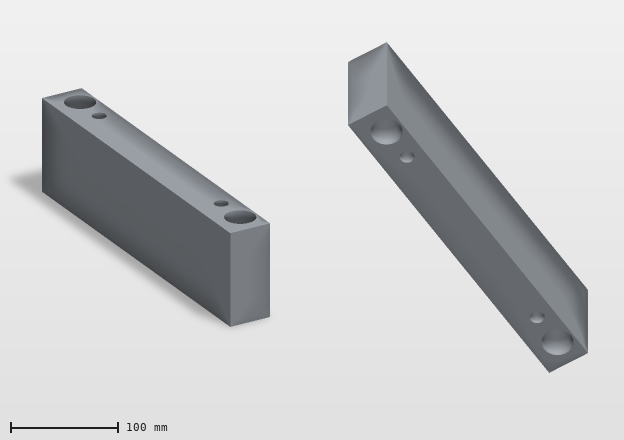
import cadquery as cq

length = 346.0
width = 43.0
height = 96.0

guide_diameter = 30.0
guide_spacing = 294.0
bolt_diameter = 14.0
bolt_spacing = 224.0
hole_row_to_back_face = 17.0
hole_row_y = width / 2 - hole_row_to_back_face


def make_block():
    return cq.Workplane("XY").box(length, width, height, centered=(True, True, False))


def drill_pair(body, diameter, spacing):
    """Drill two through holes, symmetric in X, on the common hole row."""
    centres = [(side * spacing / 2, hole_row_y) for side in (-1, 1)]
    drills = cq.Workplane("XY").pushPoints(centres).circle(diameter / 2).extrude(height)
    return body.cut(drills)


block = make_block()
block = drill_pair(block, guide_diameter, guide_spacing)
result = drill_pair(block, bolt_diameter, bolt_spacing)